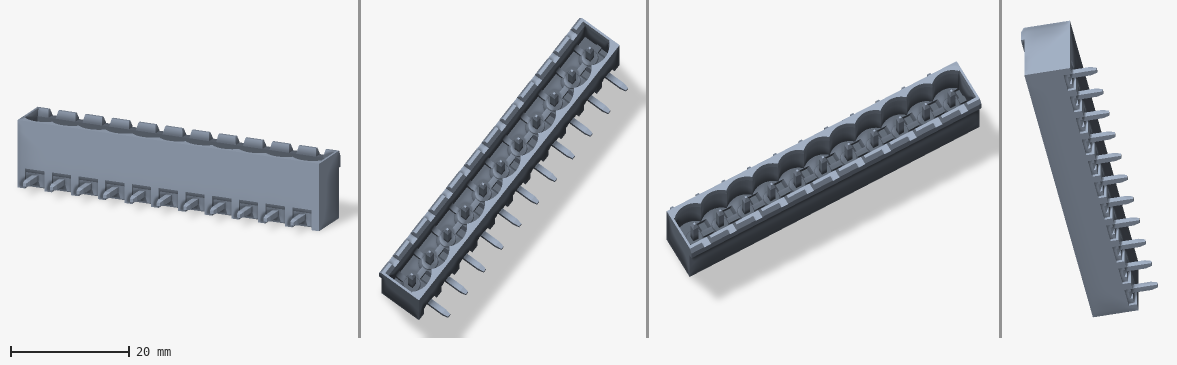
import cadquery as cq
import math

PIN_COUNT = 11
PITCH = 5.0
LENGTH = 56.4
DEPTH = 7.9
HEIGHT = 12.0
PIN_Y = 3.9
PIN_XS = [(i - (PIN_COUNT - 1) / 2) * PITCH for i in range(PIN_COUNT)]

LEDGE_DEPTH = 0.6
LEDGE_HEIGHT = 3.0
BACK_Y = DEPTH + LEDGE_DEPTH
LEDGE_CHAMFER_DEPTH = 0.5
LEDGE_CHAMFER_HEIGHT = 1.1
RAIL_SLOPE_DEPTH = 0.5
RAIL_SLOPE_HEIGHT = 1.3
LATCH_FLOOR_WIDTH = 1.3
LATCH_MOUTH_WIDTH = 1.8

FLOOR_Z = 4.0
PLATFORM_Z = 4.8
BOSS_Z = 5.0
END_WALL = 0.5
MOUTH_FLARE = 0.1
CAVITY_BACK_Y = 6.95
SCALLOP_RADIUS = 3.55
SCALLOP_Y = 4.3
CAVITY_FRONT_Y = SCALLOP_Y - math.sqrt(SCALLOP_RADIUS**2 - (PITCH / 2) ** 2)
LEAD_IN_Z = HEIGHT - RAIL_SLOPE_HEIGHT

BOSS_RADIUS = 1.35
BOSS_BASE_RADIUS = 1.95
BAR_FRONT_Y = 3.4
BAR_BACK_Y = 4.4
RIB_FILLET = 1.1

PIN_SIZE = 1.0
SOLDER_TIP_SIZE = 0.6
CONTACT_TIP_SIZE = 0.35
PIN_TIP_LENGTH = 1.1
PIN_EXIT_Z = 2.05
PIN_PROJECTION = 4.0
PIN_TOP_Z = 10.85

WINDOW_WIDTH = 3.6
WINDOW_HEIGHT = 3.55
WINDOW_DEPTH = 0.45
WINDOW_SLOPE_HEIGHT = 0.75
UNDERCUT_HEIGHT = 0.5
UNDERCUT_DEPTH = 1.4
RAMP_DEPTH = 0.45
RAMP_BOTTOM_WIDTH = 1.6
RAMP_TOP_Z = PIN_EXIT_Z - PIN_SIZE / 2


def box(x0, x1, y0, y1, z0, z1):
    return cq.Workplane("XY").box(x1 - x0, y1 - y0, z1 - z0, centered=False).translate((x0, y0, z0))


def yz_prism(points, x0, x1):
    """Extrude a (Y, Z) outline between two X positions."""
    return cq.Workplane("YZ").workplane(offset=x0).polyline(points).close().extrude(x1 - x0)


def xz_prism(points, y0, y1):
    """Extrude an (X, Z) outline between two Y positions."""
    return cq.Workplane("XZ", origin=(0, y0, 0)).polyline(points).close().extrude(y0 - y1)


def trapezoid(x, bottom_width, top_width, z0, z1):
    return [
        (x - bottom_width / 2, z0),
        (x + bottom_width / 2, z0),
        (x + top_width / 2, z1),
        (x - top_width / 2, z1),
    ]


def cone(x, y, radius_bottom, radius_top, z0, z1):
    solid = cq.Solid.makeCone(radius_bottom, radius_top, z1 - z0, cq.Vector(x, y, z0))
    return cq.Workplane(obj=solid)


def make_shell():
    """Outer block with the overhanging, chamfered back ledge."""
    profile = [
        (0, 0),
        (DEPTH, 0),
        (DEPTH, HEIGHT - LEDGE_HEIGHT),
        (BACK_Y, HEIGHT - LEDGE_HEIGHT),
        (BACK_Y, HEIGHT - LEDGE_CHAMFER_HEIGHT),
        (BACK_Y - LEDGE_CHAMFER_DEPTH, HEIGHT),
        (0, HEIGHT),
    ]
    return yz_prism(profile, -LENGTH / 2, LENGTH / 2)


def make_cavity():
    """Plug cavity: flared ends, sloped back edge and one scallop per pin along the front."""
    half = LENGTH / 2 - END_WALL
    ends = [
        (-half, FLOOR_Z),
        (half, FLOOR_Z),
        (half, LEAD_IN_Z),
        (half + MOUTH_FLARE, HEIGHT),
        (-half - MOUTH_FLARE, HEIGHT),
        (-half, LEAD_IN_Z),
    ]
    section = [
        (CAVITY_FRONT_Y, FLOOR_Z),
        (CAVITY_BACK_Y, FLOOR_Z),
        (CAVITY_BACK_Y, LEAD_IN_Z),
        (CAVITY_BACK_Y + RAIL_SLOPE_DEPTH, HEIGHT),
        (CAVITY_FRONT_Y, HEIGHT),
    ]
    end_limits = xz_prism(ends, 0, BACK_Y)
    cavity = yz_prism(section, -LENGTH / 2, LENGTH / 2).intersect(end_limits)
    front_half = end_limits.intersect(box(-LENGTH / 2, LENGTH / 2, 0, PIN_Y, PLATFORM_Z, HEIGHT))
    for x in PIN_XS:
        bore = cq.Workplane("XY", origin=(x, SCALLOP_Y, PLATFORM_Z)).circle(SCALLOP_RADIUS)
        scallop = bore.extrude(LEAD_IN_Z - PLATFORM_Z)
        flare = cone(x, SCALLOP_Y, SCALLOP_RADIUS, SCALLOP_RADIUS + MOUTH_FLARE, LEAD_IN_Z, HEIGHT)
        cavity = cavity.union(scallop.union(flare).intersect(front_half))
    return cavity


def make_latch_notch(x):
    """Drafted notch through the back rail."""
    outline = trapezoid(x, LATCH_FLOOR_WIDTH, LATCH_MOUTH_WIDTH, LEAD_IN_Z, HEIGHT)
    return xz_prism(outline, CAVITY_BACK_Y, BACK_Y)


def make_pin_support(x):
    """Conical boss, drafted platform in front of it and filleted rib behind it."""
    draft = (BOSS_BASE_RADIUS - BOSS_RADIUS) / (BOSS_Z - FLOOR_Z)
    boss = cone(x, PIN_Y, BOSS_BASE_RADIUS, BOSS_RADIUS, FLOOR_Z, BOSS_Z)
    platform_top_width = 2 * (BOSS_BASE_RADIUS - draft * (PLATFORM_Z - FLOOR_Z))
    platform_outline = trapezoid(x, 2 * BOSS_BASE_RADIUS, platform_top_width, FLOOR_Z, PLATFORM_Z)
    platform = xz_prism(platform_outline, CAVITY_FRONT_Y, PIN_Y)

    fillet_end_y = CAVITY_BACK_Y - RIB_FILLET
    arc_offset = RIB_FILLET * math.sqrt(0.5)
    rib = (
        cq.Workplane("YZ")
        .workplane(offset=x - PIN_SIZE / 2)
        .moveTo(PIN_Y, FLOOR_Z)
        .lineTo(CAVITY_BACK_Y, FLOOR_Z)
        .lineTo(CAVITY_BACK_Y, PLATFORM_Z + RIB_FILLET)
        .threePointArc(
            (fillet_end_y + arc_offset, PLATFORM_Z + RIB_FILLET - arc_offset),
            (fillet_end_y, PLATFORM_Z),
        )
        .lineTo(PIN_Y, PLATFORM_Z)
        .close()
        .extrude(PIN_SIZE)
    )
    return boss.union(platform).union(rib)


def make_window(x):
    """Pin-exit window with sloped lintel, undercut at the base and a ramp below the pin."""
    x0 = x - WINDOW_WIDTH / 2
    x1 = x + WINDOW_WIDTH / 2
    profile = [
        (0, 0),
        (UNDERCUT_DEPTH, 0),
        (UNDERCUT_DEPTH, UNDERCUT_HEIGHT),
        (WINDOW_DEPTH, UNDERCUT_HEIGHT),
        (WINDOW_DEPTH, WINDOW_HEIGHT - WINDOW_SLOPE_HEIGHT),
        (0, WINDOW_HEIGHT),
    ]
    ramp_section = [
        (WINDOW_DEPTH, UNDERCUT_HEIGHT),
        (WINDOW_DEPTH + RAMP_DEPTH, UNDERCUT_HEIGHT),
        (WINDOW_DEPTH, RAMP_TOP_Z),
    ]
    ramp_outline = trapezoid(x, RAMP_BOTTOM_WIDTH, PIN_SIZE, UNDERCUT_HEIGHT, RAMP_TOP_Z)
    ramp = yz_prism(ramp_section, x0, x1).intersect(xz_prism(ramp_outline, 0, UNDERCUT_DEPTH))
    return yz_prism(profile, x0, x1).union(ramp)


def make_leg(plane, length, tip_size):
    """Square pin leg from the bend along the plane normal, ending in a blunt pyramid."""
    shank_length = length - PIN_TIP_LENGTH
    shank = cq.Workplane(plane).rect(PIN_SIZE, PIN_SIZE).extrude(shank_length)
    tip = (
        cq.Workplane(plane)
        .workplane(offset=shank_length)
        .rect(PIN_SIZE, PIN_SIZE)
        .workplane(offset=PIN_TIP_LENGTH)
        .rect(tip_size, tip_size)
        .loft(ruled=True)
    )
    return shank.union(tip)


def make_pin(x):
    """L-shaped pin: contact leg up into the cavity and solder leg out through the window."""
    contact_leg = make_leg("XY", PIN_TOP_Z - PIN_EXIT_Z, CONTACT_TIP_SIZE)
    solder_leg = make_leg("XZ", PIN_Y + PIN_PROJECTION, SOLDER_TIP_SIZE)
    return contact_leg.union(solder_leg).translate((x, PIN_Y, PIN_EXIT_Z))


cross_bar = box(
    -LENGTH / 2 + END_WALL, LENGTH / 2 - END_WALL, BAR_FRONT_Y, BAR_BACK_Y, FLOOR_Z, PLATFORM_Z
)
cutters = [make_cavity().val()]
additions = [cross_bar.val()]
for pin_x in PIN_XS:
    cutters += [make_latch_notch(pin_x).val(), make_window(pin_x).val()]
    additions += [make_pin_support(pin_x).val(), make_pin(pin_x).val()]
housing = make_shell().val().cut(*cutters)
result = cq.Workplane(obj=housing.fuse(*additions).clean())